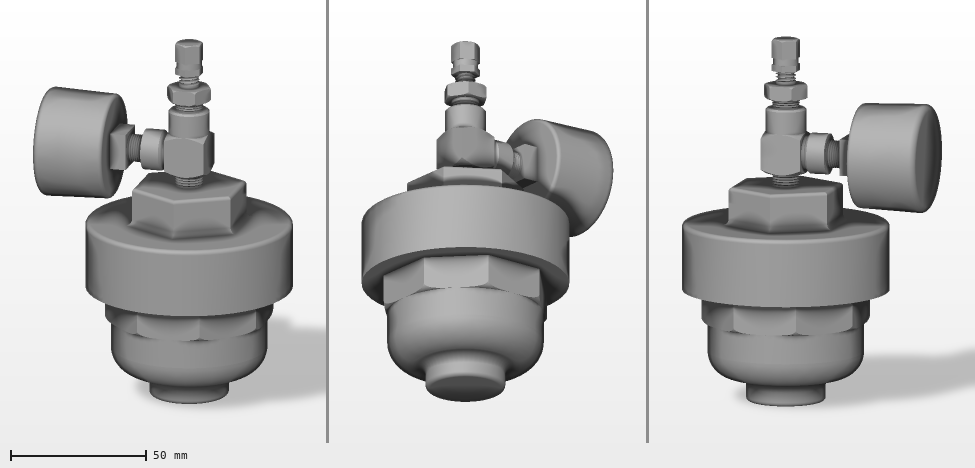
import cadquery as cq
import math


hexagon_sides = 6

bowl_diameter = 57.9
spout_diameter = 29.5
spout_edge_radius = 1.5
spout_fillet_start = 5.5
bowl_bottom = 8.8
bowl_corner_radius = 9.8
octagon_bottom = 29.3
octagon_sides = 8

flange_bottom = 41.6
flange_top = 66.7
flange_diameter = 76.8
flange_edge_radius = 1.6
boss_top = 80.7
boss_across_flats = 37.8
boss_foot_radius = 2.0
boss_edge_radius = 1.4

pipe_thread_diameter = 10.3
pipe_thread_root_diameter = 8.7
pipe_thread_pitch = 0.88
pipe_thread_plain_length = 1.02

block_size = 15.2
block_bottom = 85.6
block_center = block_bottom + block_size / 2
block_top = block_bottom + block_size
collar_diameter = block_size
top_collar_top = 109.9
top_collar_chamfer = 0.7
side_collar_neck_diameter = 12.8
side_collar_neck_length = 1.1
side_collar_end = 16.7

gauge_reach = 54.8
gauge_back = 28.5
gauge_front_diameter = 40.5
gauge_back_diameter = 38.8
gauge_front_radius = 2.3
gauge_back_radius = 1.4
gauge_square_size = 13.5
gauge_square_end = 22.5

nut_bottom = 113.4
nut_top = 118.7
nut_across_flats = 14.5
stem_diameter = 7.6
stem_root_diameter = 6.0
stem_plain_length = 1.2
stem_pitch = 1.29
stem_thread_width = 1.0
stem_root_overlap = 0.3
stem_thread_lead_in = 1.2

valve_cap_bottom = 123.7
valve_cap_groove_bottom = 126.1
valve_cap_groove_top = 128.6
valve_cap_top = 135.6
valve_cap_across_flats = 9.4
valve_cap_groove_diameter = valve_cap_across_flats
valve_cap_face_diameter = 8.7

corner_chamfer_angle = 30.0


def cylinder(diameter, bottom, top):
    """Round bar on the Z axis between two heights."""
    return cq.Workplane("XY").workplane(offset=bottom).circle(diameter / 2).extrude(top - bottom)


def regular_prism(sides, across_flats, bottom, top, turn):
    """Regular prism on the Z axis; at turn 0 it has a corner on +X."""
    corner_diameter = across_flats / math.cos(math.pi / sides)
    base = cq.Workplane("XY").workplane(offset=bottom)
    prism = base.polygon(sides, corner_diameter).extrude(top - bottom)
    return prism.rotate((0, 0, 0), (0, 0, 1), turn)


def corner_rounding(sides, across_flats, bottom, top, rounded_ends):
    """Round envelope as wide as a prism's corners, its ends rounded until they reach the flats."""
    corner_radius = across_flats / 2 / math.cos(math.pi / sides)
    rounding = corner_radius - across_flats / 2
    return cylinder(2 * corner_radius, bottom, top).faces(rounded_ends).edges().fillet(rounding)


def corner_chamfer(sides, across_flats, bottom, top, chamfered_ends, face_diameter):
    """Round envelope as wide as a prism's corners, its ends coned down to a round end face."""
    corner_radius = across_flats / 2 / math.cos(math.pi / sides)
    overhang = corner_radius - face_diameter / 2
    drop = overhang * math.tan(math.radians(corner_chamfer_angle))
    envelope = cylinder(2 * corner_radius, bottom, top)
    return envelope.faces(chamfered_ends).edges().chamfer(drop, overhang)


def pipe_thread(length, plain_length):
    """Threaded stub hanging down from Z = 0: a plain length, then V-shaped rings."""
    crest = pipe_thread_diameter / 2
    root = pipe_thread_root_diameter / 2
    ring_count = round((length - plain_length) / pipe_thread_pitch)
    pitch = (length - plain_length) / ring_count
    points = [(0, 0), (crest, 0)]
    if plain_length > 0:
        points.append((crest, -plain_length))
    for ring in range(ring_count):
        ring_top = -plain_length - ring * pitch
        points.append((root, ring_top - pitch / 2))
        points.append((crest, ring_top - pitch))
    points.append((0, -length))
    return cq.Workplane("XZ").polyline(points).close().revolve(360, (0, 0, 0), (0, 1, 0))


def make_bowl():
    spout_radius = spout_diameter / 2
    bowl_radius = bowl_diameter / 2
    spout_fillet = bowl_bottom - spout_fillet_start
    diagonal = math.sqrt(0.5)
    round_body = (
        cq.Workplane("XZ")
        .moveTo(0, 0)
        .lineTo(spout_radius - spout_edge_radius, 0)
        .threePointArc(
            (spout_radius - spout_edge_radius * (1 - diagonal), spout_edge_radius * (1 - diagonal)),
            (spout_radius, spout_edge_radius),
        )
        .lineTo(spout_radius, spout_fillet_start)
        .threePointArc(
            (spout_radius + spout_fillet * (1 - diagonal), spout_fillet_start + spout_fillet * diagonal),
            (spout_radius + spout_fillet, bowl_bottom),
        )
        .lineTo(bowl_radius - bowl_corner_radius, bowl_bottom)
        .threePointArc(
            (
                bowl_radius - bowl_corner_radius * (1 - diagonal),
                bowl_bottom + bowl_corner_radius * (1 - diagonal),
            ),
            (bowl_radius, bowl_bottom + bowl_corner_radius),
        )
        .lineTo(bowl_radius, octagon_bottom)
        .lineTo(0, octagon_bottom)
        .close()
        .revolve(360, (0, 0, 0), (0, 1, 0))
    )
    half_side_turn = 180 / octagon_sides
    octagon = regular_prism(octagon_sides, bowl_diameter, octagon_bottom, flange_bottom, half_side_turn)
    octagon = octagon.intersect(
        corner_rounding(octagon_sides, bowl_diameter, octagon_bottom, flange_bottom, "<Z")
    )
    return round_body.union(octagon)


def make_boss():
    """Hexagon boss with mitred foot and top fillets: three crossed bars, each giving two flats."""
    half = boss_across_flats / 2
    foot = half + boss_foot_radius
    foot_top = flange_top + boss_foot_radius
    edge_start = boss_top - boss_edge_radius
    inner_top = half - boss_edge_radius
    diagonal = math.sqrt(0.5)
    foot_mid_x = half + boss_foot_radius * (1 - diagonal)
    foot_mid_z = flange_top + boss_foot_radius * (1 - diagonal)
    edge_mid_x = inner_top + boss_edge_radius * diagonal
    edge_mid_z = edge_start + boss_edge_radius * diagonal
    bar = (
        cq.Workplane("XZ")
        .moveTo(-foot, flange_top)
        .lineTo(foot, flange_top)
        .threePointArc((foot_mid_x, foot_mid_z), (half, foot_top))
        .lineTo(half, edge_start)
        .threePointArc((edge_mid_x, edge_mid_z), (inner_top, boss_top))
        .lineTo(-inner_top, boss_top)
        .threePointArc((-edge_mid_x, edge_mid_z), (-half, edge_start))
        .lineTo(-half, foot_top)
        .threePointArc((-foot_mid_x, foot_mid_z), (-foot, flange_top))
        .close()
        .extrude(boss_across_flats, both=True)
    )
    boss = bar
    turn = 360 / hexagon_sides
    for step in (1, 2):
        boss = boss.intersect(bar.rotate((0, 0, 0), (0, 0, 1), step * turn))
    return boss


def make_cap():
    flange = cylinder(flange_diameter, flange_bottom, flange_top)
    flange = flange.faces(">Z").edges().fillet(flange_edge_radius)
    return flange.union(make_boss())


def make_tee():
    block = cq.Workplane("XY").box(block_size, block_size, block_size).translate((0, 0, block_center))
    block_sides = 4
    block = block.intersect(
        corner_chamfer(block_sides, block_size, block_bottom, block_top, "<Z or >Z", block_size)
    )
    top_collar = cylinder(collar_diameter, block_center, top_collar_top)
    top_collar = top_collar.faces(">Z").edges().chamfer(top_collar_chamfer)
    neck_end = block_size / 2 + side_collar_neck_length
    neck_radius = side_collar_neck_diameter / 2
    collar_radius = collar_diameter / 2
    side_collar = (
        cq.Workplane("XY")
        .polyline([
            (0, 0),
            (0, neck_radius),
            (-neck_end, neck_radius),
            (-neck_end - (collar_radius - neck_radius), collar_radius),
            (-side_collar_end, collar_radius),
            (-side_collar_end, 0),
        ])
        .close()
        .revolve(360, (0, 0, 0), (1, 0, 0))
        .translate((0, 0, block_center))
    )
    foot = pipe_thread(block_bottom - boss_top, pipe_thread_plain_length).translate((0, 0, block_bottom))
    return block.union(top_collar).union(side_collar).union(foot)


def make_gauge():
    case = (
        cq.Workplane("YZ")
        .workplane(offset=-gauge_reach)
        .circle(gauge_front_diameter / 2)
        .workplane(offset=gauge_reach - gauge_back)
        .circle(gauge_back_diameter / 2)
        .loft(ruled=True)
        .faces("<X").edges().fillet(gauge_front_radius)
        .faces(">X").edges().fillet(gauge_back_radius)
    )
    square = (
        cq.Workplane("YZ")
        .workplane(offset=-gauge_back)
        .rect(gauge_square_size, gauge_square_size)
        .extrude(gauge_back - gauge_square_end)
    )
    stem = (
        pipe_thread(gauge_square_end - side_collar_end, plain_length=0)
        .rotate((0, 0, 0), (0, 1, 0), -90)
        .translate((-gauge_square_end, 0, 0))
    )
    return case.union(square).union(stem).translate((0, 0, block_center))


def make_threaded_stem(bottom, top):
    """Round core with a coarse helical ridge, trimmed flat at both ends."""
    inner = stem_root_diameter / 2 - stem_root_overlap
    start = bottom - stem_thread_lead_in
    helix = cq.Wire.makeHelix(stem_pitch, top - start + stem_pitch, inner)
    ridge = (
        cq.Workplane("XZ")
        .polyline([(inner, -stem_thread_width / 2), (stem_diameter / 2, 0), (inner, stem_thread_width / 2)])
        .close()
        .sweep(cq.Workplane(helix), isFrenet=True)
        .translate((0, 0, start))
    )
    core = cylinder(stem_root_diameter, start - stem_pitch, top + 2 * stem_pitch)
    return core.union(ridge).intersect(cylinder(2 * stem_diameter, bottom, top))


def make_valve():
    nut = regular_prism(hexagon_sides, nut_across_flats, nut_bottom, nut_top, 0)
    nut = nut.intersect(
        corner_rounding(hexagon_sides, nut_across_flats, nut_bottom, nut_top, "<Z or >Z")
    )
    foot = pipe_thread(nut_bottom - top_collar_top, pipe_thread_plain_length).translate((0, 0, nut_bottom))
    thread_start = nut_top + stem_plain_length
    plain_stem = cylinder(stem_diameter, nut_top, thread_start)
    threaded_stem = make_threaded_stem(thread_start, valve_cap_bottom)
    return nut.union(foot).union(plain_stem).union(threaded_stem)


def make_valve_cap():
    corner_on_y = 90
    lower_hexagon = regular_prism(
        hexagon_sides, valve_cap_across_flats, valve_cap_bottom, valve_cap_groove_bottom, corner_on_y
    )
    groove = cylinder(valve_cap_groove_diameter, valve_cap_groove_bottom, valve_cap_groove_top)
    upper_hexagon = regular_prism(
        hexagon_sides, valve_cap_across_flats, valve_cap_groove_top, valve_cap_top, corner_on_y
    )
    upper_hexagon = upper_hexagon.intersect(
        corner_chamfer(
            hexagon_sides,
            valve_cap_across_flats,
            valve_cap_groove_top,
            valve_cap_top,
            ">Z",
            valve_cap_face_diameter,
        )
    )
    return lower_hexagon.union(groove).union(upper_hexagon)


bowl = make_bowl()
cap = make_cap()
tee = make_tee()
gauge = make_gauge()
valve = make_valve()
valve_cap = make_valve_cap()

result = cq.Compound.makeCompound(
    [body.solids().val() for body in (bowl, cap, tee, gauge, valve, valve_cap)]
)